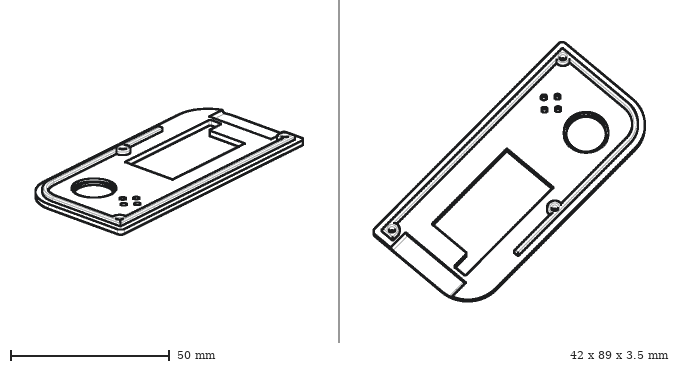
import cadquery as cq


WIDTH = 42.0
LENGTH = 89.0
TOTAL_HEIGHT = 3.5
PLATE_THICKNESS = 2.0
LARGE_CORNER_RADIUS = 11.9
SMALL_CORNER_RADIUS = 1.5
EDGE_FILLET = 0.5

RIM_HEIGHT = TOTAL_HEIGHT - PLATE_THICKNESS
RIM_INSET = 2.2
RIM_WALL = 1.9
RIM_CORNER_RADIUS = 9.5
RIM_FILLET = 0.5
RIM_LEFT_END = 64.2

SCREW_INSET = 4.5
SCREW_RADIUS = 1.0
BOSS_RADIUS = 2.5
RIGHT_SCREW_X = WIDTH - SCREW_INSET
LOWER_SCREW = (RIGHT_SCREW_X, SCREW_INSET)
UPPER_SCREW = (RIGHT_SCREW_X, LENGTH - SCREW_INSET)
LEFT_SCREW = (SCREW_INSET, LENGTH / 2)

WINDOW_LEFT = 10.0
WINDOW_RIGHT = 29.7
WINDOW_BOTTOM = 39.25
WINDOW_TOP = 74.2
NOTCH_RIGHT = 14.8
NOTCH_TOP = 80.4
NOTCH_FILLET = 0.5

OPENING_CENTER = (15.0, 18.3)
OPENING_RADIUS = 6.2
LEDGE_RADIUS = 7.0
LEDGE_DEPTH = 1.0
HOLE_GROUP_CENTER = (30.0, 18.3)
HOLE_GROUP_RADIUS = 3.0
HOLE_RADIUS = 1.0
HOLE_COUNT = 4

RECESS_LEFT = 8.3
RECESS_RIGHT = 33.9
RECESS_LENGTH = 7.0
RECESS_DEPTH = 1.0


def box(x_min, y_min, x_max, y_max, z_min, height):
    """Upright block given by two opposite corners of its footprint."""
    block = cq.Workplane("XY").box(x_max - x_min, y_max - y_min, height, centered=False)
    return block.translate((x_min, y_min, z_min))


def cylinder(center, radius, z_min, height):
    """Upright cylinder standing on z_min."""
    return cq.Workplane("XY", origin=(*center, z_min)).circle(radius).extrude(height)


def make_plate():
    plate = box(0, 0, WIDTH, LENGTH, 0, PLATE_THICKNESS)
    plate = plate.edges("|Z and <X").fillet(LARGE_CORNER_RADIUS)
    plate = plate.edges("|Z and >X").fillet(SMALL_CORNER_RADIUS)
    return plate.faces("<Z").edges().fillet(EDGE_FILLET)


def rim_block(inset, corner_radius):
    """Block set in from the plate outline, reaching up to the upper end of the rim."""
    block = box(inset, inset, WIDTH - inset, LENGTH - RIM_INSET, PLATE_THICKNESS, RIM_HEIGHT)
    return block.edges("|Z and <X and <Y").fillet(corner_radius)


def corner_boss(center, y_outer):
    """Round boss, squared off where it runs out to the rim's outer corner."""
    boss = cylinder(center, BOSS_RADIUS, PLATE_THICKNESS, RIM_HEIGHT)
    y_low, y_high = sorted((center[1], y_outer))
    square = box(center[0] - BOSS_RADIUS, y_low, WIDTH - RIM_INSET, y_high, PLATE_THICKNESS, RIM_HEIGHT)
    return boss.union(square)


def make_rim():
    """Rim with its bosses, all top edges and screw hole mouths rounded over."""
    outer = rim_block(RIM_INSET, RIM_CORNER_RADIUS)
    rim = outer.cut(rim_block(RIM_INSET + RIM_WALL, RIM_CORNER_RADIUS - RIM_WALL))
    left_gap = box(0, RIM_LEFT_END, WIDTH / 2, LENGTH, PLATE_THICKNESS, RIM_HEIGHT)
    rim = rim.cut(left_gap)
    rim = rim.union(corner_boss(LOWER_SCREW, RIM_INSET))
    rim = rim.union(corner_boss(UPPER_SCREW, LENGTH - RIM_INSET))
    rim = rim.union(cylinder(LEFT_SCREW, BOSS_RADIUS, PLATE_THICKNESS, RIM_HEIGHT))
    rim = rim.intersect(outer).cut(make_screw_holes())
    return rim.faces(">Z").edges().fillet(RIM_FILLET)


def make_screw_holes():
    holes = cq.Workplane("XY").pushPoints([LOWER_SCREW, UPPER_SCREW, LEFT_SCREW])
    return holes.circle(SCREW_RADIUS).extrude(TOTAL_HEIGHT)


def make_window():
    window = box(WINDOW_LEFT, WINDOW_BOTTOM, WINDOW_RIGHT, WINDOW_TOP, 0, PLATE_THICKNESS)
    notch = box(WINDOW_LEFT, WINDOW_BOTTOM, NOTCH_RIGHT, NOTCH_TOP, 0, PLATE_THICKNESS)
    notch = notch.edges("|Z and >Y").fillet(NOTCH_FILLET)
    window = window.union(notch)
    inner_corner = cq.selectors.NearestToPointSelector((NOTCH_RIGHT, WINDOW_TOP, PLATE_THICKNESS / 2))
    return window.edges(inner_corner).fillet(NOTCH_FILLET)


def make_opening():
    hole = cylinder(OPENING_CENTER, OPENING_RADIUS, 0, PLATE_THICKNESS)
    return hole.union(cylinder(OPENING_CENTER, LEDGE_RADIUS, PLATE_THICKNESS - LEDGE_DEPTH, LEDGE_DEPTH))


def make_hole_group():
    return (
        cq.Workplane("XY")
        .center(*HOLE_GROUP_CENTER)
        .polarArray(HOLE_GROUP_RADIUS, 0, 360, HOLE_COUNT)
        .circle(HOLE_RADIUS)
        .extrude(PLATE_THICKNESS)
    )


def make_recess():
    """Channel open at the upper edge, with rounded lower corners at both ends."""
    floor = PLATE_THICKNESS - RECESS_DEPTH
    recess = box(RECESS_LEFT, LENGTH - RECESS_LENGTH, RECESS_RIGHT, LENGTH, floor, TOTAL_HEIGHT)
    return recess.edges("|Y and <Z").fillet(RECESS_DEPTH)


result = make_plate().union(make_rim())
result = result.cut(make_screw_holes())
result = result.cut(make_window())
result = result.cut(make_opening())
result = result.cut(make_hole_group())
result = result.cut(make_recess())